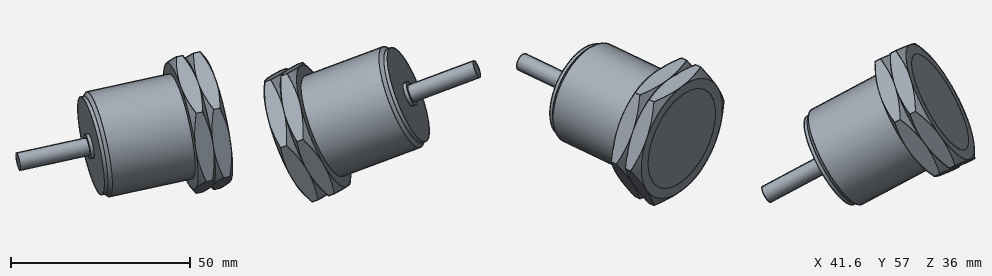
import cadquery as cq
import math

TOTAL_LENGTH = 57.0

HOUSING_DIAMETER = 30.0
EDGE_CHAMFER = 1.0
CAP_LENGTH = 1.0
CAP_RADIUS = HOUSING_DIAMETER / 2 - EDGE_CHAMFER
COLLAR_DIAMETER = 7.0
COLLAR_LENGTH = 1.0
CABLE_DIAMETER = 5.0
CABLE_LENGTH = 20.0
BARREL_LENGTH = TOTAL_LENGTH - CABLE_LENGTH - COLLAR_LENGTH - CAP_LENGTH

NUT_COUNT = 2
NUT_THICKNESS = 5.0
NUT_ACROSS_FLATS = 36.0
NUT_ACROSS_CORNERS = NUT_ACROSS_FLATS / math.cos(math.radians(30))
NUT_CHAMFER_ANGLE = 30.0


def rod(diameter, length, start):
    """Cylinder on the Y axis running from Y = start towards -Y."""
    return cq.Workplane("XZ", origin=(0, start, 0)).circle(diameter / 2).extrude(length)


def make_housing():
    """Chamfered barrel with end cap, cable collar and cable."""
    barrel = rod(HOUSING_DIAMETER, BARREL_LENGTH, 0).faces("<Y").chamfer(EDGE_CHAMFER)
    cap_start = -BARREL_LENGTH
    collar_start = cap_start - CAP_LENGTH
    cable_start = collar_start - COLLAR_LENGTH
    cap = rod(2 * CAP_RADIUS, CAP_LENGTH, cap_start)
    collar = rod(COLLAR_DIAMETER, COLLAR_LENGTH, collar_start)
    cable = rod(CABLE_DIAMETER, CABLE_LENGTH, cable_start)
    return barrel.union(cap).union(collar).union(cable)


def make_nut(start):
    """Hexagon nut with corners on +X and -X, coned on both end faces."""
    hexagon = (
        cq.Workplane("XZ", origin=(0, start, 0))
        .polygon(6, NUT_ACROSS_CORNERS)
        .extrude(NUT_THICKNESS)
    )
    end = start - NUT_THICKNESS
    face_radius = NUT_ACROSS_FLATS / 2
    corner_radius = NUT_ACROSS_CORNERS / 2
    cone_depth = (corner_radius - face_radius) * math.tan(math.radians(NUT_CHAMFER_ANGLE))
    coned_envelope = (
        cq.Workplane("XY")
        .moveTo(0, start)
        .lineTo(face_radius, start)
        .lineTo(corner_radius, start - cone_depth)
        .lineTo(corner_radius, end + cone_depth)
        .lineTo(face_radius, end)
        .lineTo(0, end)
        .close()
        .revolve(360, (0, 0, 0), (0, 1, 0))
    )
    bore = rod(HOUSING_DIAMETER, NUT_THICKNESS, start)
    return hexagon.intersect(coned_envelope).cut(bore)


housing = make_housing()
nuts = [make_nut(-index * NUT_THICKNESS) for index in range(NUT_COUNT)]

result = cq.Compound.makeCompound([housing.val(), *[nut.val() for nut in nuts]])